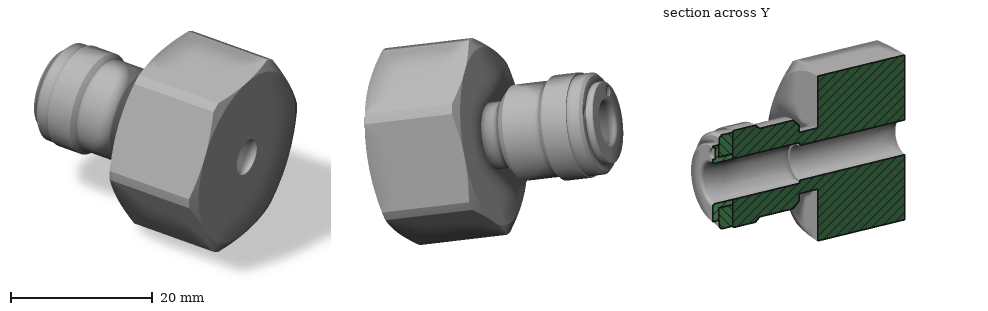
import cadquery as cq
import math


total_length = 31.9
cap_start = 1.12
sleeve_start = 3.4
sleeve_rear_chamfer_start = 7.15
barrel_start = 7.8
barrel_chamfer_start = 13.37
neck_start = 14.4
hex_start = 17.4

collet_head_diameter = 11.7
collet_stem_diameter = 7.9
collet_bore_diameter = 6.15
collet_mouth_radius = 0.48
collet_edge_chamfer = 0.1

cap_diameter = 14.5
cap_chamfer = 0.4

sleeve_diameter = 15.0
barrel_diameter = 13.7
neck_diameter = 9.5
tube_seat_diameter = 6.2
through_bore_diameter = 5.3
barrel_chamfer = neck_start - barrel_chamfer_start
barrel_rear_diameter = barrel_diameter - 2 * barrel_chamfer

hex_sides = 6
hex_across_flats = 25.4
hex_corner_diameter = 28.5
hex_chamfer_angle = 22.5

marker_diameter = 1.7
marker_depth = 0.48
collet_marker_offset = 4.65
cap_marker_offset = 5.93


def cylinder(start, end, diameter):
    """Cylinder on the X axis between two positions."""
    return cq.Workplane("YZ", origin=(start, 0, 0)).circle(diameter / 2).extrude(end - start)


def revolve_profile(points):
    """Turn a closed profile of (x, radius) points around the X axis."""
    axis_start = (0, 0)
    axis_end = (1, 0)
    return cq.Workplane("XY").polyline(points).close().revolve(360, axis_start, axis_end)


def marker(face_x, y, z):
    """Cutter for a shallow round recess in a face that looks toward -X."""
    recess = cq.Workplane("YZ", origin=(face_x, y, z)).circle(marker_diameter / 2)
    return recess.extrude(marker_depth)


def make_collet():
    """Flanged release collet seated on the cap, with a rounded tube mouth and a stem reaching the body."""
    head = cylinder(0, cap_start, collet_head_diameter).faces("<X or >X").chamfer(collet_edge_chamfer)
    stem = cylinder(cap_start, sleeve_start, collet_stem_diameter)
    collet = head.union(stem).cut(cylinder(0, sleeve_start, collet_bore_diameter))
    bore_edge = cq.selectors.RadiusNthSelector(0)
    collet = collet.faces("<X").edges(bore_edge).fillet(collet_mouth_radius)
    return collet.cut(marker(0, 0, collet_marker_offset))


def make_cap():
    """Ring around the collet stem, chamfered at its front edge."""
    outer_radius = cap_diameter / 2
    stem_radius = collet_stem_diameter / 2
    cap = revolve_profile([
        (cap_start, stem_radius),
        (cap_start, outer_radius - cap_chamfer),
        (cap_start + cap_chamfer, outer_radius),
        (sleeve_start, outer_radius),
        (sleeve_start, stem_radius),
    ])
    return cap.cut(marker(cap_start, cap_marker_offset, 0))


def make_hexagon():
    """Hexagon with turned corners and conical chamfers at both ends."""
    flat_radius = hex_across_flats / 2
    corner_radius = hex_corner_diameter / 2
    chamfer_length = (corner_radius - flat_radius) * math.tan(math.radians(hex_chamfer_angle))
    across_corners = hex_across_flats / math.cos(math.pi / hex_sides)
    prism = cq.Workplane("YZ", origin=(hex_start, 0, 0)).polygon(hex_sides, across_corners)
    prism = prism.extrude(total_length - hex_start)
    turned_blank = revolve_profile([
        (hex_start, 0),
        (hex_start, flat_radius),
        (hex_start + chamfer_length, corner_radius),
        (total_length - chamfer_length, corner_radius),
        (total_length, flat_radius),
        (total_length, 0),
    ])
    return prism.intersect(turned_blank)


def make_body():
    """Stepped barrel and hexagon in one piece, with a stepped tube bore right through."""
    turned_part = revolve_profile([
        (sleeve_start, 0),
        (sleeve_start, sleeve_diameter / 2),
        (sleeve_rear_chamfer_start, sleeve_diameter / 2),
        (barrel_start, barrel_diameter / 2),
        (barrel_chamfer_start, barrel_diameter / 2),
        (neck_start, barrel_rear_diameter / 2),
        (neck_start, neck_diameter / 2),
        (hex_start, neck_diameter / 2),
        (hex_start, 0),
    ])
    body = turned_part.union(make_hexagon())
    body = body.cut(cylinder(sleeve_start, neck_start, tube_seat_diameter))
    return body.cut(cylinder(neck_start, total_length, through_bore_diameter))


collet = make_collet()
cap = make_cap()
body = make_body()

result = cq.Compound.makeCompound([collet.val(), cap.val(), body.val()])